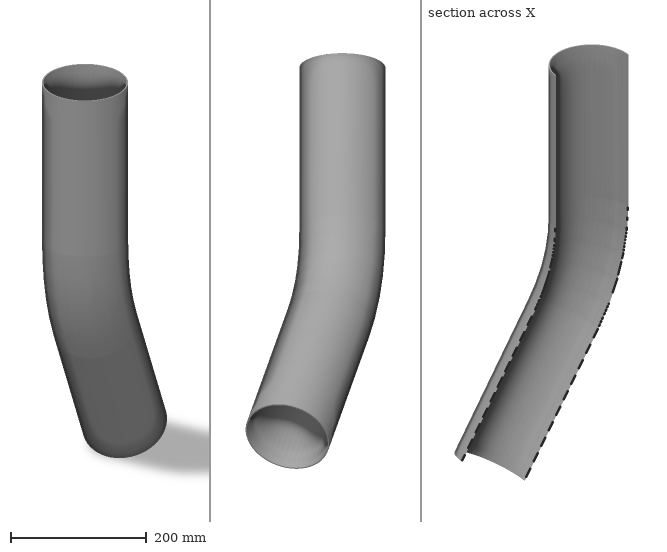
import cadquery as cq
import math

overall_height = 664.5
outer_diameter = 127.0
inner_diameter = 123.0
bend_angle = 30.0
bend_radius = 2.5 * outer_diameter

sine = math.sin(math.radians(bend_angle))
cosine = math.cos(math.radians(bend_angle))
bend_height = bend_radius * sine
rim_drop = outer_diameter / 2 * sine
leg_length = (overall_height - bend_height - rim_drop) / (1 + cosine)


def pipe_ring(workplane):
    """Draw the annular pipe section on a workplane."""
    return workplane.circle(outer_diameter / 2).circle(inner_diameter / 2)


upper_leg = pipe_ring(cq.Workplane("XY")).extrude(leg_length)

elbow = pipe_ring(cq.Workplane("XY")).revolve(
    bend_angle, (0, bend_radius, 0), (1, bend_radius, 0)
)

elbow_end = (0, bend_radius * (1 - cosine), -bend_height)
lower_direction = (0, sine, -cosine)
lower_plane = cq.Plane(origin=elbow_end, xDir=(1, 0, 0), normal=lower_direction)
lower_leg = pipe_ring(cq.Workplane(lower_plane)).extrude(leg_length)

result = upper_leg.union(elbow).union(lower_leg)